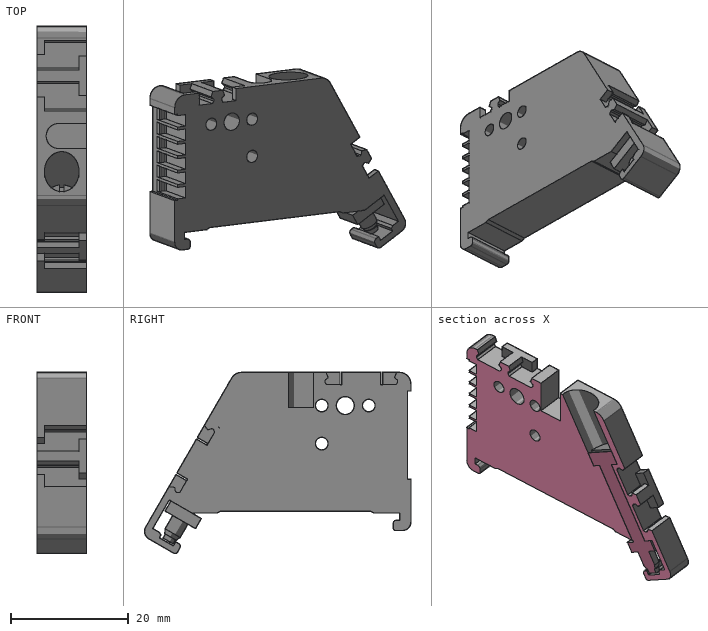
import cadquery as cq
import math

WIDTH = 8.5
LENGTH = 45.33
HEIGHT = 30.85

SLOPE_ANGLE = math.radians(60)
SLOPE_COS = math.cos(SLOPE_ANGLE)
SLOPE_SIN = math.sin(SLOPE_ANGLE)

UPPER_RADIUS = 2.0
LOWER_RADIUS = 1.5
FOOT_TIP_RADIUS = 0.5
FOOT_TOP_RADIUS = 0.6

SIDE_BOTTOM = 23.95
RELIEF_BOTTOM = 23.65
RELIEF_REAR = 6.3
RELIEF_FRONT = 33.0
RELIEF_RAMP = 0.6
REAR_FOOT_BOTTOM = 26.95
REAR_FOOT_TOP = 25.15
REAR_FOOT_WALL = 1.95
REAR_FOOT_LENGTH = 3.05

FOOT_REACH = 6.85
FOOT_WALL = 1.2
FOOT_TOP_ALONG = 30.0
FOOT_POCKET_ALONG = 30.8
FOOT_POCKET_OUTER_IN = 2.95
FOOT_POCKET_INNER_IN = 5.67
FOOT_STEP_CHAMFER = 0.5
FOOT_END_ALONG = FOOT_TIP_RADIUS + (
    HEIGHT - FOOT_TIP_RADIUS - (FOOT_REACH - FOOT_TIP_RADIUS) * SLOPE_COS
) / SLOPE_SIN

SLOPE_START = (
    LENGTH - LOWER_RADIUS * (1 - SLOPE_SIN) - (FOOT_END_ALONG - LOWER_RADIUS) * SLOPE_COS
)

NOTCH_DEPTH = 0.58
NOTCH_TOP = 3.2
RIB_PITCH = 2.5
RIB_THICKNESS = 0.5
WINDOW_COUNT = 6
NOTCH_BOTTOM = NOTCH_TOP + WINDOW_COUNT * RIB_PITCH
WINDOW_REACH = 2.1
WINDOW_WALL = 1.37
WINDOW_RIDGE_HEIGHT = 0.55
WINDOW_RIDGE_START = 0.65
WINDOW_RIDGE_CREST = 0.8
WINDOW_RIDGE_DROP = 0.47
WINDOW_RIDGE_FOOT = 1.22
WINDOW_CORNER = 0.18

MARKER_DEPTH = 2.1
MARKER_LIP_LAYER = 1.35
RAIL_TOP_HALF = 0.96
OUTER_WALL_HALF = 6.02
NEAR_LIP_HALF = 3.62
FAR_LIP_HALF = 3.34
BULGE = 0.38
BULGE_DEPTH = 0.9
NECK = 0.17
NECK_DEPTHS = (1.38, 1.7)
ROOT = 0.1
TOP_RAIL_CENTRE = 8.45
SLOPE_RAIL_CENTRE = 16.45

CROSS_CENTRE = 11.18
CROSS_DEPTH = 5.67
CROSS_SPACING = 4.0
CROSS_LOWER_DROP = 6.47
SMALL_HOLE_DIAMETER = 2.1
LARGE_HOLE_DIAMETER = 3.0

POCKET_CENTRE = 18.68
POCKET_WIDTH = 4.25
POCKET_END_WALL = 1.6
POCKET_DEPTH = 6.0

SCREW_IN = 4.5
HEAD_ALONG = 7.0
HEAD_DIAMETER = 5.9
HEAD_LENGTH = 2.5
DRIVE_SLOT_WIDTH = 0.8
DRIVE_SLOT_DEPTH = 0.9
SHAFT_DIAMETER = 3.0
PLATE_ALONG = 24.4
PLATE_SIZE = 6.0
PLATE_THICKNESS = 2.0
SHAFT_BELOW_PLATE = 2.6
TAPER_LENGTH = 0.75
TAPER_END_DIAMETER = 2.3
TIP_DIAMETER = 2.0
SCREW_TIP_ALONG = 30.56


def at(distance, depth):
    """(Y, Z) of a point given by its distance from the back face and depth below the top."""
    return (-distance, -depth)


def on_slope(along, inward):
    """(Y, Z) of a point given along the slope and inward from it."""
    return at(
        SLOPE_START + along * SLOPE_COS - inward * SLOPE_SIN,
        along * SLOPE_SIN + inward * SLOPE_COS,
    )


def round_corner(body, corner, radius):
    """Round the edge along X that passes nearest to a (Y, Z) corner."""
    nearest = cq.selectors.NearestToPointSelector((0, *corner))
    return body.edges("|X").edges(nearest).fillet(radius)


def make_block():
    """Side outline extruded over the full width, with its corners rounded."""
    side_bottom_in = (SIDE_BOTTOM - PLATE_ALONG * SLOPE_SIN) / SLOPE_COS
    back_top = at(0, 0)
    slope_top = on_slope(0, 0)
    foot_corner = on_slope(FOOT_END_ALONG, 0)
    foot_tip = on_slope(FOOT_END_ALONG, FOOT_REACH)
    foot_tip_top = on_slope(FOOT_TOP_ALONG, FOOT_REACH)
    rear_corner = at(0, REAR_FOOT_BOTTOM)
    rear_tip = at(REAR_FOOT_LENGTH, REAR_FOOT_BOTTOM)
    rear_tip_top = at(REAR_FOOT_LENGTH, REAR_FOOT_TOP)
    outline = [
        back_top,
        slope_top,
        foot_corner,
        foot_tip,
        foot_tip_top,
        on_slope(FOOT_TOP_ALONG, FOOT_POCKET_INNER_IN),
        on_slope(FOOT_POCKET_ALONG, FOOT_POCKET_INNER_IN),
        on_slope(FOOT_POCKET_ALONG, FOOT_POCKET_OUTER_IN),
        on_slope(FOOT_TOP_ALONG + FOOT_STEP_CHAMFER / 2, FOOT_POCKET_OUTER_IN),
        on_slope(FOOT_TOP_ALONG, FOOT_POCKET_OUTER_IN - FOOT_STEP_CHAMFER),
        on_slope(FOOT_TOP_ALONG, FOOT_WALL),
        on_slope(PLATE_ALONG, FOOT_WALL),
        on_slope(PLATE_ALONG, side_bottom_in),
        at(RELIEF_FRONT, SIDE_BOTTOM),
        at(RELIEF_FRONT - RELIEF_RAMP, RELIEF_BOTTOM),
        at(RELIEF_REAR + RELIEF_RAMP, RELIEF_BOTTOM),
        at(RELIEF_REAR, SIDE_BOTTOM),
        at(REAR_FOOT_WALL, SIDE_BOTTOM),
        at(REAR_FOOT_WALL, REAR_FOOT_TOP),
        rear_tip_top,
        rear_tip,
        rear_corner,
        at(0, NOTCH_BOTTOM),
        at(NOTCH_DEPTH, NOTCH_BOTTOM),
        at(NOTCH_DEPTH, NOTCH_TOP),
        at(0, NOTCH_TOP),
    ]
    block = cq.Workplane("YZ").polyline(outline).close().extrude(WIDTH / 2, both=True)
    corners = [
        (back_top, UPPER_RADIUS),
        (slope_top, UPPER_RADIUS),
        (foot_corner, LOWER_RADIUS),
        (rear_corner, LOWER_RADIUS),
        (foot_tip, FOOT_TIP_RADIUS),
        (rear_tip, FOOT_TIP_RADIUS),
        (foot_tip_top, FOOT_TOP_RADIUS),
        (rear_tip_top, FOOT_TOP_RADIUS),
    ]
    for corner, radius in corners:
        block = round_corner(block, corner, radius)
    return block


def make_windows():
    """Cutters between the ribs: open at -X and to the back, with a ridged end wall at +X."""
    floor = WIDTH / 2 - WINDOW_WALL
    plan = [
        (-WIDTH / 2, 0),
        (floor, 0),
        (floor, -WINDOW_RIDGE_START),
        (floor - WINDOW_RIDGE_HEIGHT, -WINDOW_RIDGE_CREST),
        (floor - WINDOW_RIDGE_DROP, -WINDOW_RIDGE_FOOT),
        (floor - WINDOW_RIDGE_DROP, -WINDOW_REACH + WINDOW_CORNER),
        (floor - WINDOW_RIDGE_DROP - WINDOW_CORNER, -WINDOW_REACH),
        (-WIDTH / 2, -WINDOW_REACH),
    ]
    windows = cq.Workplane("XY")
    for index in range(WINDOW_COUNT):
        top = NOTCH_TOP + RIB_THICKNESS / 2 + index * RIB_PITCH
        window = cq.Workplane("XY", origin=(0, 0, -top)).polyline(plan).close()
        windows = windows.add(window.extrude(-(RIB_PITCH - RIB_THICKNESS)))
    return windows.combine()


def make_marker_channels(centre, angle):
    """Pair of cutters that leave a marker rail standing between them.

    The rail centre is a (Y, Z) point on the outer surface, which falls toward -Y by the angle.
    In the local frame x runs down the surface, y points out of it and z points toward -X.
    """
    frame = cq.Plane(
        origin=(0, *centre),
        xDir=(0, -math.cos(angle), -math.sin(angle)),
        normal=(-1, 0, 0),
    )
    flank = [
        (0, 0),
        (BULGE, BULGE_DEPTH),
        (-NECK, NECK_DEPTHS[0]),
        (-NECK, NECK_DEPTHS[1]),
        (ROOT, MARKER_DEPTH),
    ]
    lip_centre = (WIDTH - MARKER_LIP_LAYER) / 2
    channels = cq.Workplane(frame)
    for side in (-1, 1):
        rail = [(side * (RAIL_TOP_HALF + offset), -depth) for offset, depth in flank]
        wall = [(side * (OUTER_WALL_HALF - offset), -depth) for offset, depth in flank]
        channel = (
            cq.Workplane(frame).polyline(rail + wall[::-1]).close().extrude(WIDTH / 2, both=True)
        )
        block_length = 2 * OUTER_WALL_HALF
        near_lip = (
            cq.Workplane(frame)
            .center(side * (NEAR_LIP_HALF + block_length / 2), 0)
            .workplane(offset=lip_centre)
            .box(block_length, 2 * MARKER_DEPTH, MARKER_LIP_LAYER)
        )
        far_lip = (
            cq.Workplane(frame)
            .workplane(offset=-lip_centre)
            .box(2 * FAR_LIP_HALF, 2 * MARKER_DEPTH, MARKER_LIP_LAYER)
        )
        channels = channels.add(channel.cut(near_lip).cut(far_lip))
    return channels.combine()


def make_cross_holes():
    """Cutters for the holes along X: a large one between two small ones, and one below."""
    front = CROSS_CENTRE + CROSS_SPACING
    small = [
        at(CROSS_CENTRE - CROSS_SPACING, CROSS_DEPTH),
        at(front, CROSS_DEPTH),
        at(front, CROSS_DEPTH + CROSS_LOWER_DROP),
    ]
    side = cq.Workplane("YZ", origin=(-WIDTH / 2, 0, 0))
    small_holes = side.pushPoints(small).circle(SMALL_HOLE_DIAMETER / 2).extrude(WIDTH)
    large_hole = side.center(*at(CROSS_CENTRE, CROSS_DEPTH)).circle(LARGE_HOLE_DIAMETER / 2)
    return small_holes.add(large_hole.extrude(WIDTH)).combine()


def make_pocket():
    """Cutter for the round-ended pocket."""
    radius = POCKET_WIDTH / 2
    arc_x = -WIDTH / 2 + POCKET_END_WALL + radius
    return (
        cq.Workplane("XY", origin=(0, -POCKET_CENTRE, 0))
        .moveTo(WIDTH / 2, radius)
        .lineTo(arc_x, radius)
        .threePointArc((arc_x - radius, 0), (arc_x, -radius))
        .lineTo(WIDTH / 2, -radius)
        .close()
        .extrude(-POCKET_DEPTH)
    )


def screw_plane(along):
    """Workplane across the screw axis, facing down the slope."""
    plane = cq.Plane(
        origin=(0, *on_slope(along, SCREW_IN)),
        xDir=(1, 0, 0),
        normal=(0, -SLOPE_COS, -SLOPE_SIN),
    )
    return cq.Workplane(plane)


def make_screw_hole():
    """Stepped cutter for the screw head and shaft, from above the top face to the plate."""
    entry_along = -HEAD_DIAMETER
    head_end = HEAD_ALONG + HEAD_LENGTH
    head_hole = screw_plane(entry_along).circle(HEAD_DIAMETER / 2).extrude(head_end - entry_along)
    shaft_hole = screw_plane(head_end).circle(SHAFT_DIAMETER / 2).extrude(PLATE_ALONG - head_end)
    return head_hole.union(shaft_hole)


def make_housing():
    """Terminal housing with all its openings."""
    top_rail = make_marker_channels(at(TOP_RAIL_CENTRE, 0), 0)
    slope_rail = make_marker_channels(on_slope(SLOPE_RAIL_CENTRE, 0), SLOPE_ANGLE)
    return (
        make_block()
        .cut(make_windows())
        .cut(top_rail)
        .cut(slope_rail)
        .cut(make_cross_holes())
        .cut(make_pocket())
        .cut(make_screw_hole())
    )


def make_clamp_screw():
    """Slotted screw with a square clamping plate and a stepped tip."""
    head_end = HEAD_ALONG + HEAD_LENGTH
    plate_end = PLATE_ALONG + PLATE_THICKNESS
    taper_start = plate_end + SHAFT_BELOW_PLATE
    taper_end = taper_start + TAPER_LENGTH
    head = screw_plane(HEAD_ALONG).circle(HEAD_DIAMETER / 2).extrude(HEAD_LENGTH)
    drive_slot = screw_plane(HEAD_ALONG).rect(DRIVE_SLOT_WIDTH, HEAD_DIAMETER)
    shaft = screw_plane(head_end).circle(SHAFT_DIAMETER / 2).extrude(taper_start - head_end)
    plate = screw_plane(PLATE_ALONG).rect(PLATE_SIZE, PLATE_SIZE).extrude(PLATE_THICKNESS)
    taper = (
        screw_plane(taper_start)
        .circle(SHAFT_DIAMETER / 2)
        .workplane(offset=TAPER_LENGTH)
        .circle(TAPER_END_DIAMETER / 2)
        .loft()
    )
    tip = screw_plane(taper_end).circle(TIP_DIAMETER / 2).extrude(SCREW_TIP_ALONG - taper_end)
    slotted_head = head.cut(drive_slot.extrude(DRIVE_SLOT_DEPTH))
    return slotted_head.union(shaft).union(plate).union(taper).union(tip)


housing = make_housing()
clamp_screw = make_clamp_screw()
result = cq.Compound.makeCompound([housing.val(), clamp_screw.val()])